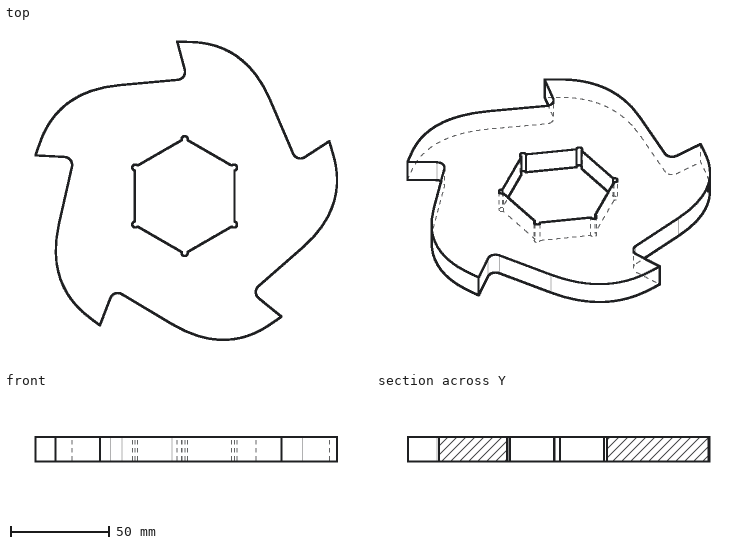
import cadquery as cq
import math

thickness = 12.7

tooth_count = 5
tooth_pitch = 360 / tooth_count
tip_radius = 78.88
tip_angle = 20.8
face_rake = 12.2
gullet_radius = 4.0

flank_slope = 20.4
flank_offset = 59.4
flank_length = 28.0
flank_pull = 37.0
tip_pull = 5.6
tip_tangent = 79.0

hex_corners = 6
hex_across_flats = 50.8
hex_corner_radius = hex_across_flats / 2 / math.cos(math.pi / hex_corners)
first_corner_angle = 90
relief_radius = 1.5
relief_inset = 0.3


def polar(radius, degrees):
    """Vector of the given length and direction in the XY plane."""
    angle = math.radians(degrees)
    return cq.Vector(radius * math.cos(angle), radius * math.sin(angle))


def tip_point(tip):
    return polar(tip_radius, tip)


def flank_point(tip, distance):
    """Point on the flank line, at a distance from the foot of its perpendicular."""
    direction = tip + flank_slope
    return polar(flank_offset, direction - 90) + polar(distance, direction)


def gullet_corner(tip):
    """Sharp corner where the face of a tooth meets the flank of the next one."""
    next_direction = tip + tooth_pitch + flank_slope
    normal = polar(1, next_direction - 90)
    inward = polar(-1, tip + face_rake)
    start = tip_point(tip)
    reach = (flank_offset - start.dot(normal)) / inward.dot(normal)
    return start + inward * reach


def make_blank():
    """Toothed plate, drawn from tooth to tooth in the counterclockwise direction."""
    first_corner = gullet_corner(tip_angle - tooth_pitch)
    outline = cq.Workplane("XY").moveTo(first_corner.x, first_corner.y)
    for index in range(tooth_count):
        tip = tip_angle + index * tooth_pitch
        curve_start = flank_point(tip, flank_length)
        curve = [
            flank_point(tip, flank_length + flank_pull),
            tip_point(tip) - polar(tip_pull, tip + tip_tangent),
            tip_point(tip),
        ]
        outline = outline.lineTo(curve_start.x, curve_start.y)
        outline = outline.bezier([point.toTuple() for point in curve], includeCurrent=True)
        if index < tooth_count - 1:
            corner = gullet_corner(tip)
            outline = outline.lineTo(corner.x, corner.y)
    return outline.close().extrude(thickness)


def round_gullets(blank):
    """Round the root corner in front of every tooth."""
    for index in range(tooth_count):
        corner = gullet_corner(tip_angle + index * tooth_pitch)
        nearest = cq.selectors.NearestToPointSelector((corner.x, corner.y, thickness / 2))
        blank = blank.edges("|Z").edges(nearest).fillet(gullet_radius)
    return blank


def make_bore():
    """Hexagonal bore together with its corner relief holes."""
    corner_angles = [first_corner_angle + index * 360 / hex_corners for index in range(hex_corners)]
    corners = [polar(hex_corner_radius, angle).toTuple() for angle in corner_angles]
    relief_centers = [polar(hex_corner_radius - relief_inset, angle).toTuple() for angle in corner_angles]
    hexagon = cq.Workplane("XY").polyline(corners).close().extrude(thickness)
    reliefs = cq.Workplane("XY").pushPoints(relief_centers).circle(relief_radius).extrude(thickness)
    return hexagon.union(reliefs)


result = round_gullets(make_blank()).cut(make_bore())